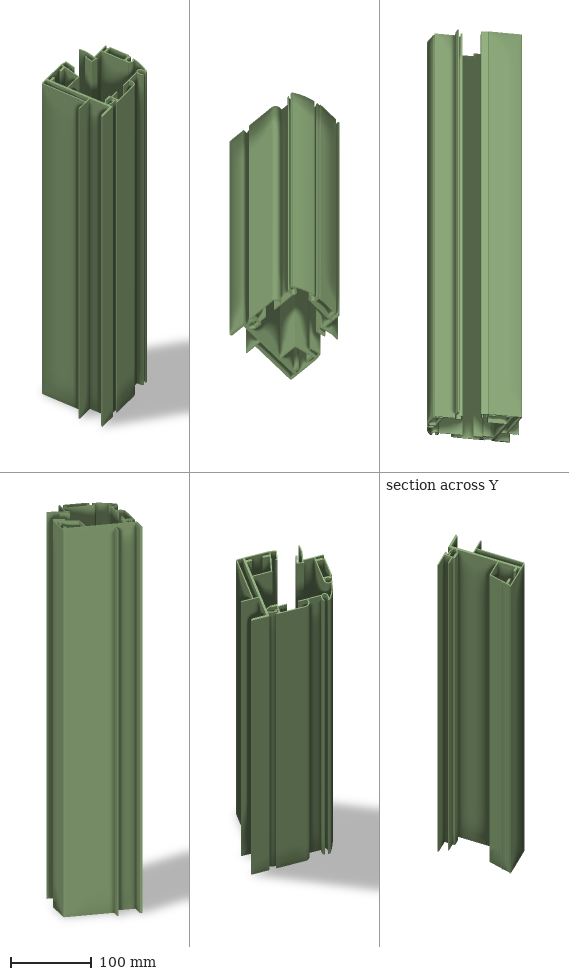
import cadquery as cq
import math

length = 500.0
width = 98.5
height = 120.0
thin = 1.5
thick = 3.0
groove_tilt = 14.0
barb_height = 1.0

half = thin / 2
slope = math.tan(math.radians(groove_tilt))

lip_start_x = 3.0
lip_bend_x = 14.0
lip_y = 96.0
upper_groove_end_x = 30.5
upper_groove_depth = 7.5
upper_jaw_length = 12.0

web_x = 26.0 + half
floor_y = 108.0
rib_x = 30.5
rib_top_y = 117.0
box_right_x = 60.5
box_right_top_y = 118.5

lid_left_x = rib_x + thin
lid_tip_depth = 2.25
lid_tip_length = 3.0

slot_x = 66.5
slot_y = 113.0
slot_radius = 3.75
slot_mouth = 4.0
roof_start = (71.0, 116.5)
roof_mid = (85.5, 111.5)
roof_end = (96.0, 105.5)
port_x = 89.5
port_y = 101.0
port_radius = 4.0
port_end_x = 96.0
port_lip = 2.0

inner_wall_x = 87.0
upper_lip_end_y = 67.0
lower_lip_end_y = 52.5
channel_top_y = 80.0
channel_bend = 6.0
channel_bottom_y = 41.0
foot_block_x = 94.5
foot_block_bottom_y = 37.5
foot_bottom_y = 35.0
foot_left_leg_end_y = 33.0
foot_right_leg_x = 91.0

plate_bottom_y = 23.0
plate_top_y = plate_bottom_y + thick
bar_bottom_y = 14.5
outer_chamfer = 1.25
leg_fillet = 0.75
middle_leg_x = 65.0 + half
right_leg_end_y = 2.5
right_leg_chamfer = 1.75

stub_left_x = 5.0
stub_right_x = stub_left_x + thick
lower_stub_top_y = 33.0
upper_stub_tip_y = 47.0
outer_wall_top_y = 58.5
lower_groove_depth = 8.0
lower_jaw_length = 14.5
groove_chamfer = 1.0
shelf_barb_x = 12.5
partition_x = 31.5

clip_left_x = 83.0 + half
clip_left_top_y = channel_bottom_y
clip_left_root_x = 87.5
clip_right_x = foot_block_x - half
clip_right_top_y = foot_block_bottom_y
clip_right_root_x = 91.5
clip_bend_y = 32.0


def block(left, right, bottom, top):
    """Full-length bar with a rectangular section."""
    corners = [(left, bottom), (right, bottom), (right, top), (left, top)]
    return cq.Workplane("XY").polyline(corners).close().extrude(length)


def strip(*points):
    """Full-length thin wall along a centre line of straight stretches, with mitred corners."""
    directions = []
    for (x0, y0), (x1, y1) in zip(points, points[1:]):
        run = math.hypot(x1 - x0, y1 - y0)
        directions.append(((x1 - x0) / run, (y1 - y0) / run))
    left_side = []
    right_side = []
    for (x, y), (ux, uy), (vx, vy) in zip(points, directions[:1] + directions, directions + directions[-1:]):
        reach = half / (1 + ux * vx + uy * vy)
        dx = -(uy + vy) * reach
        dy = (ux + vx) * reach
        left_side.append((x + dx, y + dy))
        right_side.append((x - dx, y - dy))
    return cq.Workplane("XY").polyline(left_side + right_side[::-1]).close().extrude(length)


def curved_strip(start, middle, end):
    """Full-length thin wall along an arc through three centre-line points."""
    center = cq.Workplane("XY").moveTo(*start).threePointArc(middle, end).val().arcCenter()

    def offset(point, distance):
        spoke = cq.Vector(*point) - center
        moved = center + spoke * (1 + distance / spoke.Length)
        return (moved.x, moved.y)

    return (
        cq.Workplane("XY")
        .moveTo(*offset(start, half))
        .threePointArc(offset(middle, half), offset(end, half))
        .lineTo(*offset(end, -half))
        .threePointArc(offset(middle, -half), offset(start, -half))
        .close()
        .extrude(length)
    )


def along(point, distance):
    """Point reached from another by going down the groove slope towards +X."""
    angle = math.radians(groove_tilt)
    return (point[0] + distance * math.cos(angle), point[1] - distance * math.sin(angle))


def across(point, distance):
    """Point reached from another by going upwards, square to the groove slope."""
    angle = math.radians(groove_tilt)
    return (point[0] + distance * math.sin(angle), point[1] + distance * math.cos(angle))


def barb(root, side):
    """Short ridge on a groove wall, above its centre line for side = 1 and below it for side = -1."""
    return strip(root, across(root, side * (half + barb_height)))


def edges_at(body, x, y):
    """The edge along Z nearest to a corner of the section."""
    return body.edges("|Z").edges(cq.selectors.NearestToPointSelector((x, y, length / 2)))


def join(parts):
    """One solid made from overlapping or touching walls."""
    body = parts[0]
    for part in parts[1:]:
        body = body.union(part)
    return body.clean()


def upper_groove():
    """Flat lip that slopes into a gasket groove open towards -X."""
    groove_end = (upper_groove_end_x, lip_y - (upper_groove_end_x - lip_bend_x) * slope)
    corner = across(groove_end, -upper_groove_depth)
    jaw_tip = along(corner, -upper_jaw_length)
    return [
        strip((lip_start_x, lip_y), (lip_bend_x, lip_y), along(groove_end, half)),
        strip(across(groove_end, thin), corner, jaw_tip),
        barb(along(jaw_tip, half), 1),
    ]


def box_walls():
    """Web, floor, and the two walls that the lid closes into a box."""
    web_bottom_y = lip_y - (web_x - lip_bend_x) * slope
    return [
        strip((web_x, web_bottom_y), (web_x, height)),
        strip((web_x, floor_y), (slot_x + slot_mouth / 2, floor_y)),
        block(rib_x, rib_x + thin, floor_y, rib_top_y),
        block(box_right_x, box_right_x + thin, floor_y, box_right_top_y),
    ]


def round_slot():
    """Round slot with its mouth at the top, and the flange that ties it to the box wall."""
    ring = cq.Workplane("XY").center(slot_x, slot_y).circle(slot_radius + thin).circle(slot_radius)
    mouth_left = slot_x - slot_mouth / 2
    mouth_right = slot_x + slot_mouth / 2
    ring = ring.extrude(length).cut(block(mouth_left, mouth_right, slot_y, height))
    flange = block(box_right_x, mouth_left, box_right_top_y - thin, box_right_top_y)
    roof_root = block(mouth_right, roof_start[0], slot_y + slot_radius, roof_start[1] + half)
    return [ring, flange, roof_root]


def screw_port():
    """Screw port with its mouth towards +X."""
    top_y = port_y + port_radius
    bottom_y = port_y - port_radius
    return [
        curved_strip((port_x, top_y), (port_x - port_radius, port_y), (port_x, bottom_y)),
        strip((port_x, top_y), (port_end_x, top_y), (port_end_x, top_y - port_lip)),
        strip((port_x, bottom_y), (port_end_x - port_lip, bottom_y), (port_end_x, bottom_y + port_lip)),
    ]


def hardware_channel():
    """Channel on the right side, open towards -X between two lips in line."""
    outer_x = width - half
    top_y = channel_top_y - half
    bend_x = outer_x - channel_bend
    bend_y = top_y - channel_bend
    bend_reach = channel_bend * math.sqrt(0.5)
    return [
        strip((inner_wall_x, port_y - port_radius), (inner_wall_x, upper_lip_end_y)),
        strip((inner_wall_x, top_y), (bend_x, top_y)),
        curved_strip((bend_x, top_y), (bend_x + bend_reach, bend_y + bend_reach), (outer_x, bend_y)),
        strip((outer_x, bend_y), (outer_x, foot_bottom_y)),
        strip((inner_wall_x, channel_bottom_y - half), (inner_wall_x, lower_lip_end_y)),
    ]


def channel_foot():
    """Channel bottom with two legs and a solid corner that seat between the clip arms."""
    left = clip_left_x + half
    return [
        block(left, width, channel_bottom_y - thin, channel_bottom_y),
        block(left, left + thin, foot_left_leg_end_y, channel_bottom_y),
        block(foot_right_leg_x, foot_right_leg_x + thin, foot_bottom_y, channel_bottom_y),
        block(foot_block_x, width, foot_block_bottom_y, channel_bottom_y),
    ]


def make_upper_profile():
    roof = curved_strip(roof_start, roof_mid, roof_end)
    left_and_top = upper_groove() + box_walls() + round_slot() + [roof]
    right_side = screw_port() + hardware_channel() + channel_foot()
    return join(left_and_top + right_side)


def make_lid():
    """Top plate with a leg on the floor against the rib, and a tip against the right box wall."""
    top = block(lid_left_x, box_right_x, height - thin, height)
    tip = block(box_right_x - lid_tip_length, box_right_x, height - lid_tip_depth, height)
    leg = block(lid_left_x, lid_left_x + thin, floor_y + half, height)
    return join([top, tip, leg])


def frame_base():
    """Plate with the outer wall, the bar and both legs."""
    right_leg = block(width - thick, width, right_leg_end_y, plate_top_y)
    right_leg = right_leg.edges("|Z and <X and <Y").chamfer(right_leg_chamfer)
    middle_leg_left = middle_leg_x - half
    base = join([
        block(0, width, plate_bottom_y, plate_top_y),
        right_leg,
        block(0, thin, bar_bottom_y, outer_wall_top_y),
        block(0, middle_leg_x, bar_bottom_y, bar_bottom_y + thin),
        strip((middle_leg_x, 0), (middle_leg_x, plate_bottom_y)),
    ])
    base = edges_at(base, 0, bar_bottom_y).chamfer(outer_chamfer)
    return edges_at(base, middle_leg_left, bar_bottom_y).fillet(leg_fillet)


def lower_groove():
    """Gasket groove on the outer wall, open towards +X, whose floor runs on into the partition."""
    root = (half, outer_wall_top_y)
    corner = across(root, lower_groove_depth)
    jaw_tip = along(corner, lower_jaw_length)
    outer_corner = along(across(corner, half), -half)
    jaw = edges_at(strip(root, corner, jaw_tip), *outer_corner).chamfer(groove_chamfer)
    shelf_barb_root = (shelf_barb_x, outer_wall_top_y - (shelf_barb_x - half) * slope)
    partition_top = (partition_x, outer_wall_top_y - (partition_x - half) * slope)
    return [
        jaw,
        barb(along(jaw_tip, -half), -1),
        strip(root, partition_top, (partition_x, plate_bottom_y)),
        barb(shelf_barb_root, 1),
    ]


def stubs():
    """Two stubs facing each other; the upper one has a round tip."""
    lower_stub = block(stub_left_x, stub_right_x, plate_bottom_y, lower_stub_top_y)
    root_y = outer_wall_top_y - stub_right_x * slope
    round_start_y = upper_stub_tip_y + thick / 2
    upper_stub = (
        cq.Workplane("XY")
        .moveTo(stub_left_x, root_y)
        .lineTo(stub_left_x, round_start_y)
        .threePointArc((stub_left_x + thick / 2, upper_stub_tip_y), (stub_right_x, round_start_y))
        .lineTo(stub_right_x, root_y)
        .close()
        .extrude(length)
    )
    return [lower_stub, upper_stub]


def clip_arms():
    """Pair of arms spreading from the plate around the channel foot."""
    root_y = plate_top_y - half
    left_bend = (clip_left_x, clip_bend_y)
    right_bend = (clip_right_x, clip_bend_y)
    return [
        strip((clip_left_root_x, root_y), left_bend, (clip_left_x, clip_left_top_y)),
        strip((clip_right_root_x, root_y), right_bend, (clip_right_x, clip_right_top_y)),
    ]


def make_lower_profile():
    return join([frame_base()] + lower_groove() + stubs() + clip_arms())


upper_profile = make_upper_profile()
lower_profile = make_lower_profile()
lid = make_lid()

result = cq.Compound.makeCompound([
    upper_profile.solids().val(),
    lower_profile.solids().val(),
    lid.solids().val(),
])